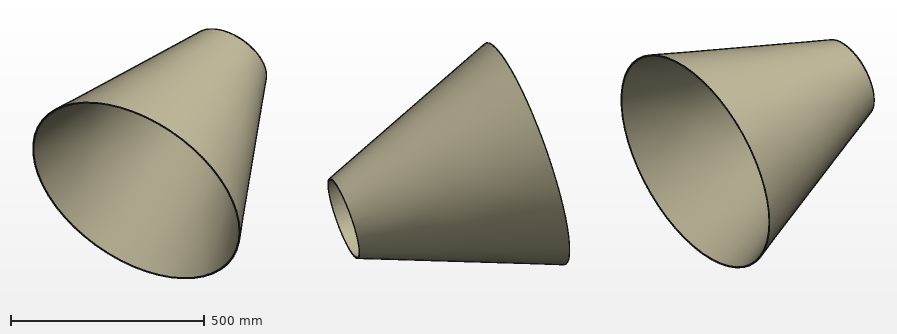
import cadquery as cq
import math

large_diameter = 609.5
small_diameter = 219.5
length = 508.0
wall_thickness = 3.0

large_radius = large_diameter / 2
small_radius = small_diameter / 2

half_angle = math.atan2(large_radius - small_radius, length)
radial_wall = wall_thickness / math.cos(half_angle)

wall_section = (
    cq.Workplane("XY")
    .moveTo(large_radius - radial_wall, 0)
    .lineTo(large_radius, 0)
    .lineTo(small_radius, length)
    .lineTo(small_radius - radial_wall, length)
    .close()
)

result = wall_section.revolve(360, (0, 0, 0), (0, 1, 0))